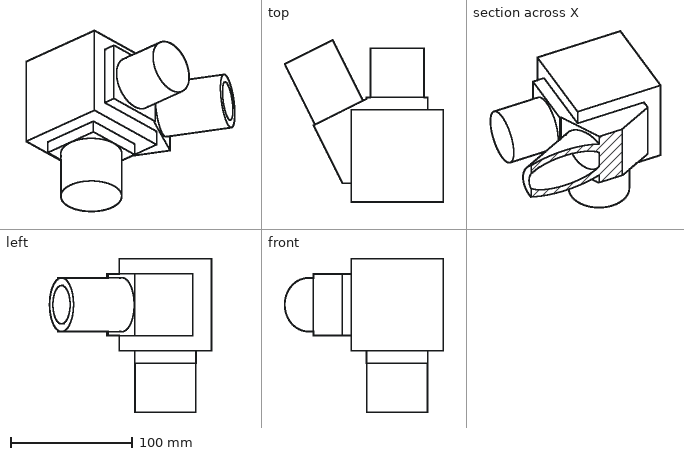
import cadquery as cq
import math

BODY_SIDE = 76.2
BODY_HALF = BODY_SIDE / 2

PAD_SIDE = 50.8
PAD_HEIGHT = 10.16
STRAIGHT_REACH = 50.8
LOWER_PIPE_DIAMETER = 50.4
REAR_PIPE_DIAMETER = 44.45

BRANCH_ANGLE = math.radians(26.57)
BRANCH_DIAMETER = 44.45
BRANCH_BORE = 31.75
BRANCH_LENGTH = 55.9
BRANCH_END_X = -73.04
BRANCH_END_Y = 85.68

WEDGE_HALF_WIDTH = 23.6
WEDGE_FRONT_Y = -22.8

OUTWARD_X = -math.sin(BRANCH_ANGLE)
OUTWARD_Y = math.cos(BRANCH_ANGLE)
BRANCH_BASE_X = BRANCH_END_X - BRANCH_LENGTH * OUTWARD_X
BRANCH_BASE_Y = BRANCH_END_Y - BRANCH_LENGTH * OUTWARD_Y


def straight_port(face_plane, pipe_diameter):
    """Square pad and round pipe standing on one face of the body."""
    body_face = cq.Workplane(face_plane).workplane(offset=BODY_HALF)
    pad = body_face.rect(PAD_SIDE, PAD_SIDE).extrude(PAD_HEIGHT)
    pipe = body_face.circle(pipe_diameter / 2).extrude(STRAIGHT_REACH)
    return pad.union(pipe)


def wedge():
    """Block whose slanted rear face is square to the branch pipe."""
    slope = math.tan(BRANCH_ANGLE)
    outer_x = BRANCH_BASE_X - WEDGE_HALF_WIDTH * math.cos(BRANCH_ANGLE)
    outer_y = BRANCH_BASE_Y - WEDGE_HALF_WIDTH * math.sin(BRANCH_ANGLE)
    front_x = outer_x + (outer_y - WEDGE_FRONT_Y) * slope
    inner_x = -PAD_SIDE / 2
    inner_y = outer_y + (inner_x - outer_x) * slope
    outline = [
        (outer_x, outer_y),
        (front_x, WEDGE_FRONT_Y),
        (inner_x, WEDGE_FRONT_Y),
        (inner_x, inner_y),
    ]
    return cq.Workplane("XY").polyline(outline).close().extrude(PAD_SIDE / 2, both=True)


def branch_cylinder(diameter):
    """Cylinder along the full length of the branch pipe."""
    base = cq.Plane(
        origin=(BRANCH_BASE_X, BRANCH_BASE_Y, 0),
        xDir=(0, 0, 1),
        normal=(OUTWARD_X, OUTWARD_Y, 0),
    )
    return cq.Workplane(base).circle(diameter / 2).extrude(BRANCH_LENGTH)


body = cq.Workplane("XY").box(BODY_SIDE, BODY_SIDE, BODY_SIDE)
lower_port = straight_port("YX", LOWER_PIPE_DIAMETER)
rear_port = straight_port("ZX", REAR_PIPE_DIAMETER)

result = (
    body.union(lower_port)
    .union(rear_port)
    .union(wedge())
    .union(branch_cylinder(BRANCH_DIAMETER))
    .cut(branch_cylinder(BRANCH_BORE))
)